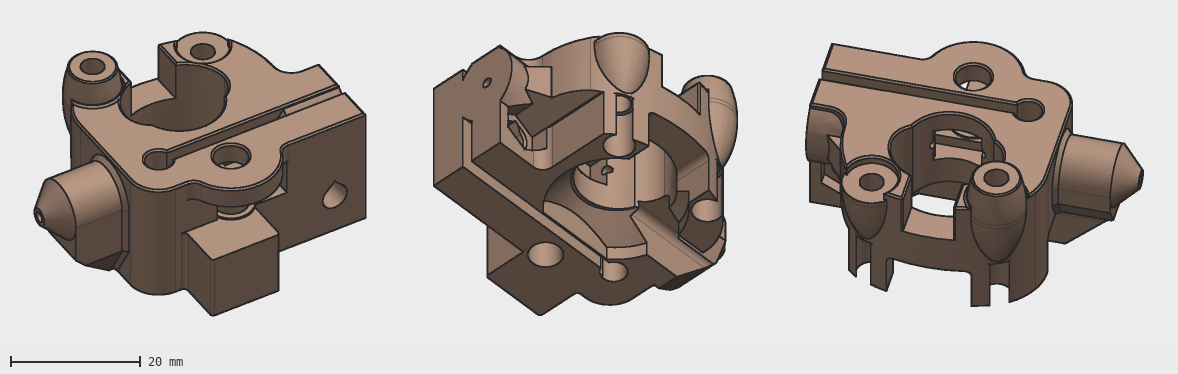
import cadquery as cq
import math


height = 21.05
body_right = 18.8
body_back = 22.95
body_front = -16.3
front_corner_radius = 5.05
front_flat_start = -1.2
arm_left = 4.75
shoulder_y = 16.8
shoulder_fillet = 3.1
left_edge = -12.25
left_radius = 28.0
left_arc_half_width = 9.7
front_bend = (-5.4, -15.4)
back_bend = (-6.55, 14.7)
edge_chamfer = 0.3
margin = 2.6

bore_half_x = 7.2
bore_half_y = 8.8
shoulder_circle = 4.45
lobe_x = 1.35
lobe_radius = 6.95
recess_x = 1.85
recess_radius = 11.25
recess_wall = 2.55
recess_ceiling = 6.3
recess_flat_x = 10.6

standoff_x = -8.15
standoff_y = 9.9
standoff_radius = 4.6
standoff_hole = 1.85
standoff_access = 2.5
access_top = 8.85
ogive_radius = 19.7
ogive_bottom = 8.8
belt_low = 18.85
belt_high = 19.65
front_standoff_top = 25.3
standoff_chamfer = 0.2
seat_radius = 4.15
collar_radius = 5.05
collar_height = 0.35

slit_x = 11.7
slit_width = 1.8
slit_end_y = -9.95
slit_end_radius = 2.2

pivot_x = 16.75
pivot_hole = 2.75
pivot_plate_radius = 8.0
pivot_plate_bottom = 17.5
pivot_blend = 1.8
block_top = 11.3
block_right = 26.75
block_front = -9.4
block_back = 2.8
block_corner = 0.5
block_root_fillet = 0.8
ring_radius = 3.75
ring_height = 0.3
idler_front = -3.7
idler_back = 3.95
idler_lip_x = 8.4
idler_wide_back = 8.8

filament_x = 7.5
filament_z = 14.55
filament_hole = 0.85
nose_radius = 5.05
nose_shoulder_y = -25.3
nose_tip_y = -28.9
nose_tip_radius = 1.5
nose_left_corner_z = 11.25
nose_right_corner_z = 6.15
nose_foot_x = 9.2
nose_slant = math.radians(60)
nose_slope_y = -17.4
flare = 0.8
back_boss_x = 8.0
back_boss_half_x = 5.7
back_boss_half_z = 6.85
back_boss_end_scale = 0.3
back_boss_cone_y = 12.95

notch_half_width = 4.0
notch_floor = 14.05
arch_half_width = 6.75
arch_top = 7.45
arch_corner = 1.05
window_right = 5.4
window_top = 7.6
window_corner = 1.4

screw_y = 17.4
screw_z = 6.75
screw_radius = 2.2
screw_chamfer = 0.35
nut_half_flats = 3.75
nut_floor_x = 6.75
nut_cut_front = 13.5
nut_cut_fillet = 2.05
nut_half_side = nut_half_flats * math.tan(math.radians(30))
nut_access_top = screw_z + nut_half_side
nut_apex_z = screw_z + 2 * nut_half_side
gusset_left = -0.2
gusset_back = 19.7
gusset_top = 17.15


def box(x0, x1, y0, y1, z0, z1):
    """Box given by its limits on each axis."""
    return cq.Workplane("XY").box(x1 - x0, y1 - y0, z1 - z0, centered=False).translate((x0, y0, z0))


def upright(x, y, radius, z0, z1):
    """Vertical cylinder."""
    return cq.Workplane("XY", origin=(x, y, z0)).circle(radius).extrude(z1 - z0)


def along_y(x, z, radius, y0, y1):
    """Cylinder parallel to Y."""
    return cq.Workplane("XZ", origin=(x, y0, z)).circle(radius).extrude(y0 - y1)


def cone_along_y(x, z, radius0, y0, radius1, y1):
    """Cone parallel to Y, from radius0 at y0 to radius1 at y1."""
    direction = cq.Vector(0, math.copysign(1, y1 - y0), 0)
    return cq.Workplane(cq.Solid.makeCone(radius0, radius1, abs(y1 - y0), cq.Vector(x, y0, z), direction))


def cone_up(x, y, radius0, z0, radius1, z1):
    """Vertical cone, from radius0 at z0 to radius1 at z1."""
    return cq.Workplane(cq.Solid.makeCone(radius0, radius1, z1 - z0, cq.Vector(x, y, z0)))


def prism_along_x(points, x0, x1):
    """Prism parallel to X with a (y, z) outline."""
    return cq.Workplane("YZ", origin=(x0, 0, 0)).polyline(points).close().extrude(x1 - x0)


def body_outline():
    """Plan outline of the body without the pivot plate."""
    sagitta = left_radius - math.sqrt(left_radius**2 - left_arc_half_width**2)
    left_x = left_edge + sagitta
    diagonal = math.sqrt(0.5)
    corner_x = body_right - front_corner_radius
    corner_y = body_front + front_corner_radius
    shoulder_x = arm_left - shoulder_fillet
    blend_y = shoulder_y + shoulder_fillet
    return (
        cq.Workplane("XY")
        .moveTo(front_flat_start, body_front)
        .lineTo(corner_x, body_front)
        .threePointArc(
            (corner_x + front_corner_radius * diagonal, corner_y - front_corner_radius * diagonal),
            (body_right, corner_y),
        )
        .lineTo(body_right, body_back)
        .lineTo(arm_left, body_back)
        .lineTo(arm_left, blend_y)
        .threePointArc(
            (shoulder_x + shoulder_fillet * diagonal, blend_y - shoulder_fillet * diagonal),
            (shoulder_x, shoulder_y),
        )
        .tangentArcPoint(back_bend, relative=False)
        .tangentArcPoint((left_x, left_arc_half_width), relative=False)
        .threePointArc((left_edge, 0), (left_x, -left_arc_half_width))
        .tangentArcPoint(front_bend, relative=False)
        .tangentArcPoint((front_flat_start, body_front), relative=False)
        .close()
    )


def bore(z0, z1):
    """Bore with an elliptical left half, a round lobe on the right and round shoulders between them."""
    oval = cq.Workplane("XY", origin=(0, 0, z0)).ellipse(bore_half_x, bore_half_y).extrude(z1 - z0)
    opening = oval.cut(box(0, bore_half_x, -bore_half_y, bore_half_y, z0, z1))
    opening = opening.union(upright(lobe_x, 0, lobe_radius, z0, z1))
    for side in (-1, 1):
        y = side * (bore_half_y - shoulder_circle)
        opening = opening.union(upright(0, y, shoulder_circle, z0, z1))
    return opening


def slit():
    """Clamping slit, open at the back and ending in a round hole."""
    half = slit_width / 2
    cut = box(slit_x - half, slit_x + half, slit_end_y, body_back + margin, -margin, height + margin)
    return cut.union(upright(slit_x, slit_end_y, slit_end_radius, -margin, height + margin))


def main_body():
    """Body and pivot plate with bore, slit and pivot hole, chamfered around the top."""
    plate = upright(pivot_x, 0, pivot_plate_radius, pivot_plate_bottom, height)
    body = body_outline().extrude(height).union(plate)
    blend_y = math.sqrt(pivot_plate_radius**2 - (body_right - pivot_x) ** 2)
    blend_z = (pivot_plate_bottom + height) / 2
    for side in (-1, 1):
        corner = cq.selectors.NearestToPointSelector((body_right, side * blend_y, blend_z))
        body = body.edges("|Z").edges(corner).fillet(pivot_blend)
    body = body.cut(bore(-margin, height + margin)).cut(slit())
    body = body.cut(upright(pivot_x, 0, pivot_hole, -margin, height + margin))
    return body.faces(">Z").edges().chamfer(edge_chamfer)


def standoff(side, top):
    """Ogive-shaped screw post; the part above the belt is only kept up to `top`."""
    def ogive(distance):
        return standoff_radius - ogive_radius + math.sqrt(ogive_radius**2 - distance**2)

    low = belt_low - ogive_bottom
    high = front_standoff_top - belt_high
    profile = (
        cq.Workplane("XZ")
        .moveTo(0, ogive_bottom)
        .lineTo(ogive(low), ogive_bottom)
        .threePointArc((ogive(low / 2), belt_low - low / 2), (standoff_radius, belt_low))
        .lineTo(standoff_radius, belt_high)
        .threePointArc((ogive(high / 2), belt_high + high / 2), (ogive(high), front_standoff_top))
        .lineTo(0, front_standoff_top)
        .close()
    )
    post = profile.revolve(360, (0, 0, 0), (0, 1, 0)).faces(">Z").chamfer(standoff_chamfer)
    post = post.translate((standoff_x, side * standoff_y, 0))
    return post.intersect(upright(standoff_x, side * standoff_y, 2 * standoff_radius, 0, top))


def add_standoffs(body):
    """Tall post at the front, low post in a round seat at the back, both drilled."""
    body = body.cut(upright(standoff_x, standoff_y, seat_radius, belt_high, height))
    rim_z = height - edge_chamfer
    body = body.cut(cone_up(standoff_x, standoff_y, seat_radius, rim_z, seat_radius + edge_chamfer, height))
    collar = cone_up(
        standoff_x, -standoff_y, collar_radius, height, collar_radius - collar_height, height + collar_height
    )
    collar = collar.intersect(body_outline().extrude(height + margin))
    collar = collar.cut(bore(0, height + margin))
    body = body.union(collar)
    body = body.union(standoff(1, belt_high)).union(standoff(-1, front_standoff_top))
    for side in (-1, 1):
        y = side * standoff_y
        body = body.cut(upright(standoff_x, y, standoff_hole, -margin, front_standoff_top + margin))
        body = body.cut(upright(standoff_x, y, standoff_access, -margin, access_top))
    return body


def nose_outline(grow):
    """(x, z) outline of the nose: round top, straight sides and slanted lower edges."""
    radius = nose_radius + grow
    left = filament_x - radius
    right = filament_x + radius
    left_foot_z = nose_left_corner_z - (window_right - left) * math.tan(nose_slant)
    return (
        cq.Workplane("XZ", origin=(0, body_front + margin, 0))
        .moveTo(left, filament_z)
        .threePointArc((filament_x, filament_z + radius), (right, filament_z))
        .lineTo(right, nose_right_corner_z)
        .lineTo(nose_foot_x + grow, 0)
        .lineTo(window_right, 0)
        .lineTo(window_right, left_foot_z)
        .lineTo(left, nose_left_corner_z)
        .close()
    )


def nose():
    """Filament inlet at the front with a flared root, sloped underside and conical tip."""
    shank = nose_outline(0).extrude(margin + body_front - nose_shoulder_y)
    root = nose_outline(flare).extrude(margin + flare).faces("<Y").chamfer(flare)
    shank = shank.union(root)
    reach = nose_slope_y - nose_shoulder_y + margin
    underside = [(nose_slope_y, 0), (nose_slope_y - reach, reach), (nose_slope_y - reach, 0)]
    shank = shank.cut(prism_along_x(underside, 0, body_right))
    tip = cone_along_y(filament_x, filament_z, nose_radius, nose_shoulder_y, nose_tip_radius, nose_tip_y)
    return shank.union(tip)


def back_boss():
    """Oval boss at the back, bridging the slit, tapering to its inner end and trimmed by the bore."""
    start = cq.Workplane("XZ", origin=(back_boss_x, body_back, filament_z))
    barrel = start.ellipse(back_boss_half_x, back_boss_half_z).extrude(body_back - back_boss_cone_y)
    end_half_x = back_boss_end_scale * back_boss_half_x
    end_half_z = back_boss_end_scale * back_boss_half_z
    end = (
        cq.Workplane("XZ", origin=(back_boss_x, back_boss_cone_y, filament_z))
        .ellipse(back_boss_half_x, back_boss_half_z)
        .workplane(offset=back_boss_half_x - end_half_x)
        .ellipse(end_half_x, end_half_z)
        .loft(ruled=True, combine=True)
    )
    below_rim = box(left_edge, body_right, 0, body_back, 0, height - edge_chamfer)
    return barrel.union(end).cut(bore(0, height)).intersect(below_rim)


def idler_block():
    """Block below the pivot plate, with a thin ring around the pivot hole."""
    block = box(slit_x + slit_width, block_right, block_front, block_back, 0, block_top)
    block = block.edges("|Z and >X").fillet(block_corner)
    root_x = body_right + block_root_fillet
    root_y = block_front - block_root_fillet
    root = box(body_right, root_x, root_y, block_front, 0, block_top)
    root = root.cut(upright(root_x, root_y, block_root_fillet, 0, block_top))
    ring = upright(pivot_x, 0, ring_radius, block_top, block_top + ring_height)
    return block.union(root).union(ring).cut(upright(pivot_x, 0, pivot_hole, -margin, height))


def idler_slot():
    """Slot from the bore to the right side that takes the idler lever."""
    slot = box(lobe_x, block_right, idler_front, idler_back, block_top, pivot_plate_bottom)
    wide = box(idler_lip_x, block_right, idler_front, idler_wide_back, block_top, pivot_plate_bottom)
    slot = slot.union(wide)
    return slot.cut(upright(pivot_x, 0, ring_radius, block_top, block_top + ring_height))


def motor_recess():
    """Round recess in the bottom with a conical ceiling and one flat side."""
    recess = upright(recess_x, 0, recess_radius, 0, recess_wall)
    recess = recess.union(cone_up(recess_x, 0, recess_radius, recess_wall, lobe_radius, recess_ceiling))
    return recess.cut(box(recess_flat_x, body_right, -body_back, body_back, 0, height))


def wall_openings():
    """Notch at the top left, arch at the bottom left and window at the bottom front."""
    outer_x = left_edge + 2 * edge_chamfer
    plan = [(0, -notch_half_width), (0, notch_half_width), (outer_x, notch_half_width)]
    plan += [(outer_x - margin, notch_half_width + margin), (outer_x - margin, -notch_half_width - margin)]
    plan += [(outer_x, -notch_half_width)]
    notch = cq.Workplane("XY", origin=(0, 0, notch_floor)).polyline(plan).close()
    notch = notch.extrude(height - notch_floor)
    rim_z = height - edge_chamfer
    rim_half = notch_half_width + edge_chamfer
    rim = [(-notch_half_width, rim_z), (-rim_half, height), (rim_half, height), (notch_half_width, rim_z)]
    notch = notch.union(prism_along_x(rim, left_edge, 0))
    arch = box(left_edge - margin, 0, -arch_half_width, arch_half_width, -margin, arch_top)
    arch = arch.edges("|X and >Z").fillet(arch_corner)
    window = box(front_flat_start, window_right, nose_tip_y, -lobe_radius, -margin, window_top)
    window = window.edges("|Y and >Z").fillet(window_corner)
    return notch.union(arch).union(window)


def gusset():
    """Vertical rib between round side and back boss; its underside follows the nut pocket roof."""
    rib = (
        cq.Workplane("XY", origin=(0, 0, nut_access_top))
        .moveTo(gusset_left, shoulder_y)
        .lineTo(gusset_left + gusset_back - shoulder_y, gusset_back)
        .lineTo(arm_left, gusset_back)
        .lineTo(arm_left, screw_y - nut_half_flats)
        .lineTo(gusset_left, screw_y - nut_half_flats)
        .close()
        .extrude(gusset_top - nut_access_top)
    )
    roof_start = (screw_y - nut_half_flats, nut_access_top)
    roof_end = (gusset_back, nut_apex_z + (gusset_back - screw_y) * math.tan(math.radians(30)))
    below_roof = [roof_start, roof_end, (gusset_back, nut_access_top)]
    return rib.cut(prism_along_x(below_roof, left_edge, body_right))


def nut_pocket():
    """Hexagonal pocket, the open corner beside it and the teardrop screw hole."""
    outer = left_edge - margin
    corner = box(outer, arm_left, nut_cut_front, body_back + margin, -margin, nut_access_top)
    corner = corner.edges("|Z and >X and <Y").fillet(nut_cut_fillet)
    hexagon = [
        (
            screw_y + 2 * nut_half_side * math.sin(math.radians(60 * i)),
            screw_z + 2 * nut_half_side * math.cos(math.radians(60 * i)),
        )
        for i in range(6)
    ]
    nut = prism_along_x(hexagon, outer, nut_floor_x)
    screw = cq.Workplane("YZ", origin=(outer, screw_y, screw_z))
    hole = screw.circle(screw_radius).extrude(body_right + margin - outer)
    side = screw_radius * math.sqrt(0.5)
    point = [
        (screw_y - side, screw_z + side),
        (screw_y, screw_z + 2 * side),
        (screw_y + side, screw_z + side),
        (screw_y, screw_z),
    ]
    hole = hole.union(prism_along_x(point, outer, body_right + margin))
    mouth = cq.Solid.makeCone(
        screw_radius + screw_chamfer,
        screw_radius,
        screw_chamfer,
        cq.Vector(nut_floor_x, screw_y, screw_z),
        cq.Vector(1, 0, 0),
    )
    return corner.union(nut).union(hole).union(cq.Workplane(mouth))


body = add_standoffs(main_body())
body = body.union(nose().cut(bore(0, height)))
body = body.union(gusset()).union(back_boss()).union(idler_block())
for cutter in (idler_slot(), motor_recess(), wall_openings(), nut_pocket()):
    body = body.cut(cutter)
result = body.cut(along_y(filament_x, filament_z, filament_hole, nose_tip_y - margin, body_back + margin))